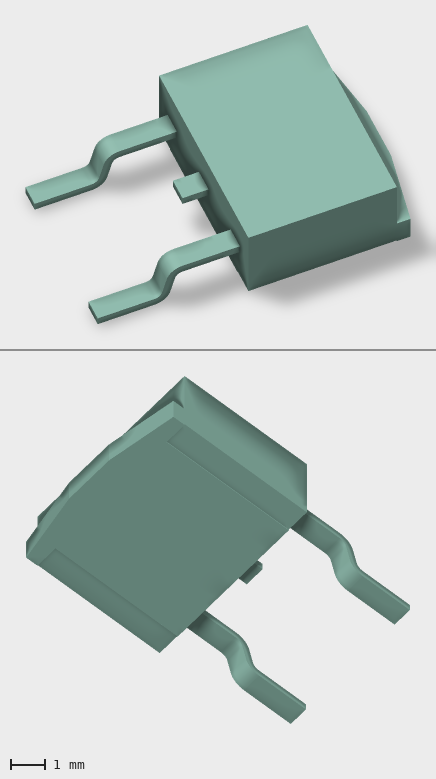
import cadquery as cq
import math


housing_width = 6.5
housing_front = 4.48
housing_length = 4.68
housing_bottom = 0.04
housing_height = 2.5
housing_back = housing_front + housing_length
housing_top = housing_bottom + housing_height

tab_back = 10.01
tab_thickness = 0.83
tab_shoulder_y = 9.6
tab_end_width = 1.76
pad_width = 4.9

lead_pitch = 2.29
lead_width = 0.67
lead_thickness = 0.27
lead_top = 1.42
lead_upper_bend_y = 2.67
bend_inner_radius = 0.24
bend_angle = 75.0
lead_drop = lead_top - lead_thickness - housing_bottom

stub_width = 0.7
stub_length = 0.82

marker_diameter = 0.28
marker_depth = 0.05
marker_x = -2.3
marker_y = 5.52


def make_tab():
    """Flat tab with a tapered rear end, joined to a thin pad that covers the housing underside."""
    half_width = housing_width / 2
    half_end = tab_end_width / 2
    outline = [
        (-half_width, housing_back),
        (half_width, housing_back),
        (half_width, tab_shoulder_y),
        (half_end, tab_back),
        (-half_end, tab_back),
        (-half_width, tab_shoulder_y),
    ]
    rear = cq.Workplane("XY").polyline(outline).close().extrude(tab_thickness)
    pad = cq.Workplane("XY", origin=(0, housing_front, 0)).box(
        pad_width, housing_length, housing_bottom, centered=(True, False, False)
    )
    return rear.union(pad)


def make_marker():
    """Small round disc whose top is level with the housing top."""
    return (
        cq.Workplane("XY", origin=(marker_x, marker_y, housing_top - marker_depth))
        .circle(marker_diameter / 2)
        .extrude(marker_depth)
    )


def make_housing(marker):
    """Rectangular block with a recess matching the marker."""
    block = cq.Workplane("XY", origin=(0, housing_front, housing_bottom)).box(
        housing_width, housing_length, housing_height, centered=(True, False, False)
    )
    return block.cut(marker)


def point_on_bend(centre, radius, angle):
    """Point at an angle in degrees from vertical; positive angles lean toward -Y."""
    turn = math.radians(angle)
    return (centre[0] - radius * math.sin(turn), centre[1] + radius * math.cos(turn))


def make_lead(centre_x):
    """Gull-wing lead: upper run, two equal bends joined by a sloping leg, and a foot."""
    inner = bend_inner_radius
    outer = inner + lead_thickness
    turn = math.radians(bend_angle)

    leg_length = (lead_drop - (inner + outer) * (1 - math.cos(turn))) / math.sin(turn)
    bends_length = (inner + outer) * math.sin(turn) + leg_length * math.cos(turn)
    foot_top = housing_bottom + lead_thickness
    foot_start_y = lead_upper_bend_y - bends_length
    upper_centre = (lead_upper_bend_y, lead_top - outer)
    lower_centre = (foot_start_y, foot_top + inner)

    def upper(radius, fraction):
        return point_on_bend(upper_centre, radius, fraction * bend_angle)

    def lower(radius, fraction):
        return point_on_bend(lower_centre, -radius, fraction * bend_angle)

    return (
        cq.Workplane("YZ", origin=(centre_x - lead_width / 2, 0, 0))
        .moveTo(housing_front, lead_top)
        .lineTo(*upper(outer, 0))
        .threePointArc(upper(outer, 0.5), upper(outer, 1))
        .lineTo(*lower(inner, 1))
        .threePointArc(lower(inner, 0.5), lower(inner, 0))
        .lineTo(0, foot_top)
        .lineTo(0, housing_bottom)
        .lineTo(*lower(outer, 0))
        .threePointArc(lower(outer, 0.5), lower(outer, 1))
        .lineTo(*upper(inner, 1))
        .threePointArc(upper(inner, 0.5), upper(inner, 0))
        .lineTo(housing_front, lead_top - lead_thickness)
        .close()
        .extrude(lead_width)
    )


def make_stub():
    """Short straight centre lead, level with the upper runs of the outer leads."""
    return cq.Workplane(
        "XY", origin=(0, housing_front - stub_length, lead_top - lead_thickness)
    ).box(stub_width, stub_length, lead_thickness, centered=(True, False, False))


tab = make_tab()
marker = make_marker()
housing = make_housing(marker)
leads = [make_lead(side * lead_pitch) for side in (-1, 1)]
stub = make_stub()

result = cq.Compound.makeCompound(
    [housing.val(), tab.val(), marker.val(), stub.val(), *[lead.val() for lead in leads]]
)